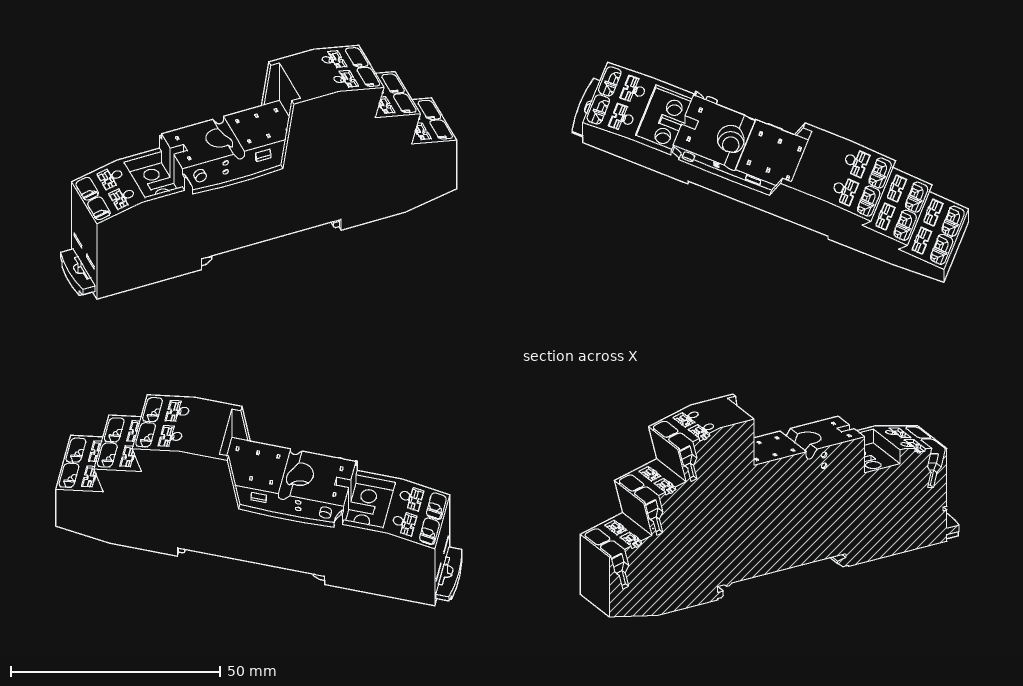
import cadquery as cq
import math

WIDTH = 15.9
HEIGHT = 45.9
LENGTH = 92.9
FOOT_REACH = 4.0

TILT = math.radians(14)
TREAD = 12.0
RISER = 9.4
STEPS = 3
TREAD_RUN = TREAD * math.cos(TILT)
TREAD_RISE = TREAD * math.sin(TILT)
RISER_RUN = RISER * math.sin(TILT)
RISER_RISE = RISER * math.cos(TILT)
STEP_RUN = TREAD_RUN - RISER_RUN
STEP_RISE = TREAD_RISE + RISER_RISE
LOW_EDGE_Z = HEIGHT - TREAD_RISE - (STEPS - 1) * STEP_RISE

DECK_Z = 27.7
FRONT_EDGE_Z = DECK_Z - TREAD_RISE

REAR_BEVEL_RUN = 13.3
REAR_BEVEL_RISE = 2.9
RAIL_FRONT_Y = 27.0
RAIL_BACK_Y = 63.1
RAIL_DEPTH = 3.6

WALL = 1.4
INNER_WIDTH = WIDTH - 2 * WALL
INNER_HALF = INNER_WIDTH / 2
BLOCK_FRONT_Y = 22.7
BLOCK_BACK_Y = 53.1
BLOCK_TOP_Z = 33.6
TOWER_TOP_Y = 50.85
WALL_DIP_BACK_Y = 48.0
WALL_DIP_FRONT_Y = 24.7
WALL_DIP_Z = 25.8
WALL_DIP_SAG = 0.6
EAR_TOP_Y = 23.1
EAR_TOP_Z = 31.8
EAR_FOOT_Z = 27.9
EAR_CURVE_MIDDLE = (24.1, 29.6)

BLOCK_GROOVE_BACK_Y = 38.6
BLOCK_GROOVE_FRONT_Y = 35.8
BLOCK_GROOVE_RADIUS = 0.9
BLOCK_GROOVE_BOTTOM_Z = 31.5
BLOCK_GROOVE_SLOPE_START = (37.0, 31.9)

SCREW_Y = 34.9
SCREW_RADIUS = 1.9
SCREW_HEAD_RADIUS = 3.2
SCREW_HEAD_DEPTH = 7.75

SLIT_X = 3.8
SLIT_ROWS = (25.6, 41.1, 46.0, 51.0)
SLIT_WIDTH = 1.0
SLIT_LENGTH = 0.6
SLIT_DEPTH = 1.9

POCKET_FRONT_Y = 13.0
POCKET_FLOOR_Z = 24.0
POCKET_HOLE_X = 3.7
POCKET_HOLE_Y = 18.9
POCKET_HOLE_RADIUS = 1.8
POCKET_HOLE_DEPTH = 5.8
KEYWAY_WIDTH = 2.2
KEYWAY_FRONT_Y = 16.8
KEYWAY_BACK_Y = 26.2
KEYWAY_DEPTH = 3.9

PIN_Y = 26.9
PIN_Z = 30.4
PIN_RADIUS = 1.4
SIDE_HOLE_Y = 33.8
SIDE_HOLE_HEIGHTS = (28.6, 31.5)
SIDE_HOLE_RADIUS = 0.7
SIDE_HOLE_DEPTH = 1.0
LATCH_FRONT_Y = 41.6
LATCH_BACK_Y = 45.2
LATCH_REACH = 0.7
LATCH_TOP_Z = 32.0
LATCH_CREST_Z = 30.7
LATCH_BOTTOM_Z = 29.7

POLE_X = 3.7
ENTRY_START = 0.5
ENTRY_LENGTH = 3.8
ENTRY_PAIR_WIDTH = 7.0
ENTRY_CORNER_RADIUS = 1.2
ENTRY_RIB = 0.4
ENTRY_RIB_DROP = 2.4
ENTRY_DEPTH = 4.7
FUNNEL_DEPTH = 1.5
WIRE_START = 1.4
WIRE_WIDTH = 1.7
WIRE_LENGTH = 1.55
WIRE_DEPTH = 3.9
LEVER_START = 6.2
LEVER_LENGTH = 2.7
LEVER_WIDTH = 5.9
LEVER_DEPTH = 0.8
LEVER_GROOVE_START = 7.4
LEVER_GROOVE_LENGTH = 0.7
LEVER_GROOVE_DEPTH = 0.3
LEVER_GROOVE_GAP = 1.5
STEM_WIDTH = 0.8
STEM_LENGTH = 0.8
NOTCH_START = 8.4
NOTCH_LENGTH = 0.7
NOTCH_WIDTH = 1.6
NOTCH_DEPTH = 1.2
PROBE_AT = 10.3
PROBE_RADIUS = 1.2
PROBE_DEPTH = 8.7

FACE_SLOT_X = 4.0
FACE_SLOT_Z = 8.9
FACE_SLOT_WIDTH = 4.65
FACE_SLOT_HEIGHT = 0.9
FACE_SLOT_DEPTH = 1.0

FOOT_HALF = 7.0
FOOT_SHOULDER = 3.2
FOOT_BOTTOM_Z = 0.3
FOOT_PLATE_Z = 1.7
FOOT_LOWER_HALF = 5.4
FOOT_ANCHOR = 1.0
FOOT_CAVITY_DEPTH = 0.8
FOOT_NOTCH_HALF = 4.0
FOOT_NOTCH_DEPTH = 0.9
FOOT_EYE_HALF = 1.6
FOOT_EYE_TIP_HALF = 0.9
FOOT_EYE_DEPTH = 2.4
FOOT_EYE_BULGE = (1.5, 1.8)

SPRING_HOOK_REACH = 3.1
SPRING_HOOK_SHOULDER = 0.9
SPRING_HOOK_TOP_Z = 2.7
SPRING_TIP_TOP_Z = 2.2
SPRING_TIP_BOTTOM_Z = 1.55
SPRING_HOOK_BEVEL = 1.55
FIXED_HOOK_REACH = 1.55
FIXED_HOOK_TOP_Z = 2.1
FIXED_HOOK_BOTTOM_Z = 0.4
FIXED_HOOK_BEVEL = 0.5
BUMP_Y = 60.2
BUMP_LENGTH = 2.2
BUMP_TIP_LENGTH = 0.6
BUMP_HEIGHT = 0.6


def box(x_min, x_max, y_min, y_max, z_min, z_max):
    """Axis-aligned box from its limits."""
    return (
        cq.Workplane("XY")
        .box(x_max - x_min, y_max - y_min, z_max - z_min, centered=False)
        .translate((x_min, y_min, z_min))
    )


def centred_prism(sketch, width):
    """Extrude a closed YZ outline evenly about the middle plane X = 0."""
    return sketch.extrude(width / 2, both=True)


def side_rod(x_start, y, z, radius, length):
    """Round rod along +X, starting at x_start."""
    return cq.Workplane("YZ", origin=(x_start, y, z)).circle(radius).extrude(length)


def mirrored(shape):
    """A shape together with its mirror image across X = 0."""
    return shape.union(shape.mirror("YZ"))


def housing():
    """Outer shell: stepped rear tower, dipped side walls, rail channel below."""
    steps = []
    for step in range(STEPS):
        edge_y = LENGTH - step * STEP_RUN
        edge_z = LOW_EDGE_Z + step * STEP_RISE
        steps.append((edge_y, edge_z))
        steps.append((edge_y - TREAD_RUN, edge_z + TREAD_RISE))
    dip_middle_y = (WALL_DIP_BACK_Y + WALL_DIP_FRONT_Y) / 2
    outline = (
        cq.Workplane("YZ")
        .moveTo(LENGTH, REAR_BEVEL_RISE)
        .polyline(steps, includeCurrent=True)
        .lineTo(TOWER_TOP_Y, HEIGHT)
        .lineTo(WALL_DIP_BACK_Y, WALL_DIP_Z)
        .threePointArc((dip_middle_y, WALL_DIP_Z - WALL_DIP_SAG), (WALL_DIP_FRONT_Y, WALL_DIP_Z))
        .lineTo(WALL_DIP_FRONT_Y, EAR_FOOT_Z)
        .threePointArc(EAR_CURVE_MIDDLE, (EAR_TOP_Y, EAR_TOP_Z))
        .lineTo(BLOCK_FRONT_Y, EAR_TOP_Z)
        .lineTo(BLOCK_FRONT_Y, DECK_Z)
        .lineTo(TREAD_RUN, DECK_Z)
        .lineTo(0, FRONT_EDGE_Z)
        .lineTo(0, 0)
        .lineTo(RAIL_FRONT_Y, 0)
        .lineTo(RAIL_FRONT_Y, RAIL_DEPTH)
        .lineTo(RAIL_BACK_Y, RAIL_DEPTH)
        .lineTo(RAIL_BACK_Y, 0)
        .lineTo(LENGTH - REAR_BEVEL_RUN, 0)
        .close()
    )
    return centred_prism(outline, WIDTH)


def block_groove():
    """Rounded groove across the block, vertical behind and sloped in front."""
    bottom_y = BLOCK_GROOVE_BACK_Y - BLOCK_GROOVE_RADIUS
    outline = (
        cq.Workplane("YZ")
        .moveTo(BLOCK_GROOVE_BACK_Y, BLOCK_TOP_Z)
        .lineTo(BLOCK_GROOVE_BACK_Y, BLOCK_GROOVE_BOTTOM_Z + BLOCK_GROOVE_RADIUS)
        .threePointArc((bottom_y, BLOCK_GROOVE_BOTTOM_Z), BLOCK_GROOVE_SLOPE_START)
        .lineTo(BLOCK_GROOVE_FRONT_Y, BLOCK_TOP_Z)
        .close()
    )
    return centred_prism(outline, INNER_WIDTH)


def relay_seat(body):
    """Block between the side walls, with the open space behind and in front of it."""
    body = body.cut(box(-INNER_HALF, INNER_HALF, BLOCK_FRONT_Y, BLOCK_BACK_Y, BLOCK_TOP_Z, HEIGHT))
    body = body.union(
        box(-INNER_HALF, INNER_HALF, BLOCK_FRONT_Y, BLOCK_BACK_Y, POCKET_FLOOR_Z, BLOCK_TOP_Z)
    )
    body = body.cut(
        box(-INNER_HALF, INNER_HALF, POCKET_FRONT_Y, BLOCK_FRONT_Y, POCKET_FLOOR_Z, DECK_Z)
    )
    body = body.cut(block_groove())

    slits = (
        cq.Workplane("XY", origin=(0, 0, BLOCK_TOP_Z))
        .pushPoints([(side * SLIT_X, y) for side in (-1, 1) for y in SLIT_ROWS])
        .rect(SLIT_WIDTH, SLIT_LENGTH)
        .extrude(-SLIT_DEPTH)
    )
    pocket_holes = (
        cq.Workplane("XY", origin=(0, POCKET_HOLE_Y, POCKET_FLOOR_Z))
        .pushPoints([(-POCKET_HOLE_X, 0), (POCKET_HOLE_X, 0)])
        .circle(POCKET_HOLE_RADIUS)
        .extrude(-POCKET_HOLE_DEPTH)
    )
    keyway = box(
        -KEYWAY_WIDTH / 2, KEYWAY_WIDTH / 2, KEYWAY_FRONT_Y, KEYWAY_BACK_Y,
        POCKET_FLOOR_Z - KEYWAY_DEPTH, BLOCK_TOP_Z,
    )
    screw_top = cq.Workplane("XY", origin=(0, SCREW_Y, BLOCK_TOP_Z))
    screw_hole = screw_top.circle(SCREW_RADIUS).extrude(-BLOCK_TOP_Z)
    screw_head = screw_top.circle(SCREW_HEAD_RADIUS).extrude(-SCREW_HEAD_DEPTH)
    return body.cut(slits).cut(pocket_holes).cut(keyway).cut(screw_hole).cut(screw_head)


def block_side_details(body):
    """Round pin, latch wedge and two small holes on both sides of the block."""
    pin = side_rod(INNER_HALF, PIN_Y, PIN_Z, PIN_RADIUS, WALL)
    latch = (
        cq.Workplane("XZ", origin=(0, LATCH_BACK_Y, 0))
        .moveTo(INNER_HALF, LATCH_TOP_Z)
        .lineTo(INNER_HALF + LATCH_REACH, LATCH_CREST_Z)
        .lineTo(INNER_HALF + LATCH_REACH, LATCH_BOTTOM_Z)
        .lineTo(INNER_HALF, LATCH_BOTTOM_Z)
        .close()
        .extrude(LATCH_BACK_Y - LATCH_FRONT_Y)
    )
    body = body.union(mirrored(pin)).union(mirrored(latch))
    for z in SIDE_HOLE_HEIGHTS:
        hole = side_rod(INNER_HALF - SIDE_HOLE_DEPTH, SIDE_HOLE_Y, z, SIDE_HOLE_RADIUS, SIDE_HOLE_DEPTH)
        body = body.cut(mirrored(hole))
    return body


def tread_block(plane, x, width, start, length, top, depth):
    """Block below a tread: centred on x, beginning `start` inward from its edge."""
    return (
        cq.Workplane(plane)
        .workplane(offset=-top)
        .center(x, start + length / 2)
        .rect(width, length)
        .extrude(-depth)
    )


def entry_opening(plane, pole_x, depth):
    """Opening shared by the two wire entries of a pole, with rounded corners."""
    opening = tread_block(plane, pole_x, ENTRY_PAIR_WIDTH, ENTRY_START, ENTRY_LENGTH, 0, depth)
    return opening.edges(cq.selectors.ParallelDirSelector(plane.zDir)).fillet(ENTRY_CORNER_RADIUS)


def funnel(plane, x):
    """Taper from one half of the opening down to its wire hole."""
    entry_middle = ENTRY_START + ENTRY_LENGTH / 2
    wire_middle = WIRE_START + WIRE_LENGTH / 2
    return (
        cq.Workplane(plane)
        .workplane(offset=-ENTRY_DEPTH)
        .center(x, entry_middle)
        .rect((ENTRY_PAIR_WIDTH - ENTRY_RIB) / 2, ENTRY_LENGTH)
        .workplane(offset=-FUNNEL_DEPTH)
        .center(0, wire_middle - entry_middle)
        .rect(WIRE_WIDTH, WIRE_LENGTH)
        .loft(ruled=True)
    )


def wire_entries(plane, pole_x):
    """Two wire entries side by side: ribbed opening, funnels and wire holes."""
    funnel_end = ENTRY_DEPTH + FUNNEL_DEPTH
    rib = tread_block(
        plane, pole_x, ENTRY_RIB, ENTRY_START, ENTRY_LENGTH, ENTRY_RIB_DROP, ENTRY_DEPTH - ENTRY_RIB_DROP
    )
    entries = entry_opening(plane, pole_x, ENTRY_DEPTH).cut(rib)
    funnel_limit = entry_opening(plane, pole_x, funnel_end)
    for side in (-1, 1):
        x = pole_x + side * (ENTRY_PAIR_WIDTH + ENTRY_RIB) / 4
        wire_hole = tread_block(plane, x, WIRE_WIDTH, WIRE_START, WIRE_LENGTH, funnel_end, WIRE_DEPTH)
        entries = entries.union(funnel(plane, x).intersect(funnel_limit)).union(wire_hole)
    return entries


def release_lever(plane, pole_x):
    """Recess with an outer stem, a notch at its inner edge and an interrupted groove."""
    recess = tread_block(plane, pole_x, LEVER_WIDTH, LEVER_START, LEVER_LENGTH, 0, LEVER_DEPTH)
    stem = tread_block(plane, pole_x, STEM_WIDTH, LEVER_START, STEM_LENGTH, 0, LEVER_DEPTH)
    notch = tread_block(plane, pole_x, NOTCH_WIDTH, NOTCH_START, NOTCH_LENGTH, 0, NOTCH_DEPTH)
    lever = recess.cut(stem).union(notch)
    groove_width = (LEVER_WIDTH - LEVER_GROOVE_GAP) / 2
    for side in (-1, 1):
        x = pole_x + side * (LEVER_GROOVE_GAP + groove_width) / 2
        groove = tread_block(
            plane, x, groove_width, LEVER_GROOVE_START, LEVER_GROOVE_LENGTH,
            LEVER_DEPTH, LEVER_GROOVE_DEPTH,
        )
        lever = lever.union(groove)
    return lever


def terminals(body, plane, with_probe_holes):
    """Cut the two-pole terminal pattern into one tread."""
    for pole_x in (-POLE_X, POLE_X):
        body = body.cut(wire_entries(plane, pole_x))
        body = body.cut(release_lever(plane, pole_x))
        if with_probe_holes:
            probe = cq.Workplane(plane).center(pole_x, PROBE_AT).circle(PROBE_RADIUS)
            body = body.cut(probe.extrude(-PROBE_DEPTH))
    return body


def all_terminals(body):
    """Three rear treads and the front one; local Y points inward up the tread."""
    for step in range(STEPS):
        plane = cq.Plane(
            origin=(0, LENGTH - step * STEP_RUN, LOW_EDGE_Z + step * STEP_RISE),
            xDir=(-1, 0, 0),
            normal=(0, math.sin(TILT), math.cos(TILT)),
        )
        body = terminals(body, plane, with_probe_holes=step == STEPS - 1)
    front_plane = cq.Plane(
        origin=(0, 0, FRONT_EDGE_Z),
        xDir=(1, 0, 0),
        normal=(0, -math.sin(TILT), math.cos(TILT)),
    )
    return terminals(body, front_plane, with_probe_holes=True)


def face_slots():
    """Two flat slots in the front end face."""
    return (
        cq.Workplane("XZ")
        .pushPoints([(-FACE_SLOT_X, FACE_SLOT_Z), (FACE_SLOT_X, FACE_SLOT_Z)])
        .rect(FACE_SLOT_WIDTH, FACE_SLOT_HEIGHT)
        .extrude(-FACE_SLOT_DEPTH)
    )


def release_foot():
    """Foot with an arched front, a narrower lower part and a notched eye."""
    bulge_x, bulge_y = FOOT_EYE_BULGE
    foot = (
        cq.Workplane("XY", origin=(0, 0, FOOT_BOTTOM_Z))
        .moveTo(-FOOT_HALF, FOOT_ANCHOR)
        .lineTo(-FOOT_HALF, -FOOT_SHOULDER)
        .threePointArc((0, -FOOT_REACH), (FOOT_HALF, -FOOT_SHOULDER))
        .lineTo(FOOT_HALF, FOOT_ANCHOR)
        .lineTo(FOOT_NOTCH_HALF, FOOT_ANCHOR)
        .lineTo(FOOT_NOTCH_HALF, -FOOT_NOTCH_DEPTH)
        .lineTo(FOOT_EYE_HALF, -FOOT_NOTCH_DEPTH)
        .threePointArc((bulge_x, -bulge_y), (FOOT_EYE_TIP_HALF, -FOOT_EYE_DEPTH))
        .lineTo(-FOOT_EYE_TIP_HALF, -FOOT_EYE_DEPTH)
        .threePointArc((-bulge_x, -bulge_y), (-FOOT_EYE_HALF, -FOOT_NOTCH_DEPTH))
        .lineTo(-FOOT_NOTCH_HALF, -FOOT_NOTCH_DEPTH)
        .lineTo(-FOOT_NOTCH_HALF, FOOT_ANCHOR)
        .close()
        .extrude(RAIL_DEPTH - FOOT_BOTTOM_Z)
    )
    under_plate = box(
        FOOT_LOWER_HALF, FOOT_HALF, -FOOT_REACH, FOOT_ANCHOR, FOOT_BOTTOM_Z, FOOT_PLATE_Z
    )
    return foot.cut(mirrored(under_plate))


def foot_cavity():
    """Hollow in the front end face, behind the notch of the foot."""
    return box(-FOOT_NOTCH_HALF, FOOT_NOTCH_HALF, 0, FOOT_CAVITY_DEPTH, 0, RAIL_DEPTH)


def rail_hooks():
    """Spring hook and fixed hook gripping the rail, and the bump above it."""
    spring_tip = RAIL_FRONT_Y + SPRING_HOOK_REACH
    spring_shoulder = RAIL_FRONT_Y + SPRING_HOOK_SHOULDER
    spring_hook = (
        cq.Workplane("YZ")
        .moveTo(RAIL_FRONT_Y, RAIL_DEPTH)
        .lineTo(spring_shoulder, RAIL_DEPTH)
        .lineTo(spring_shoulder, SPRING_HOOK_TOP_Z)
        .lineTo(spring_tip, SPRING_TIP_TOP_Z)
        .lineTo(spring_tip, SPRING_TIP_BOTTOM_Z)
        .lineTo(spring_tip - SPRING_HOOK_BEVEL, FOOT_BOTTOM_Z)
        .lineTo(RAIL_FRONT_Y, FOOT_BOTTOM_Z)
        .close()
    )
    fixed_tip = RAIL_BACK_Y - FIXED_HOOK_REACH
    fixed_hook = (
        cq.Workplane("YZ")
        .moveTo(RAIL_BACK_Y, FIXED_HOOK_TOP_Z)
        .lineTo(fixed_tip, FIXED_HOOK_TOP_Z)
        .lineTo(fixed_tip, FIXED_HOOK_BOTTOM_Z + FIXED_HOOK_BEVEL)
        .lineTo(fixed_tip + FIXED_HOOK_BEVEL, FIXED_HOOK_BOTTOM_Z)
        .lineTo(RAIL_BACK_Y, FIXED_HOOK_BOTTOM_Z)
        .close()
    )
    bump = (
        cq.Workplane("YZ")
        .moveTo(BUMP_Y + BUMP_LENGTH / 2, RAIL_DEPTH)
        .lineTo(BUMP_Y + BUMP_TIP_LENGTH / 2, RAIL_DEPTH - BUMP_HEIGHT)
        .lineTo(BUMP_Y - BUMP_TIP_LENGTH / 2, RAIL_DEPTH - BUMP_HEIGHT)
        .lineTo(BUMP_Y - BUMP_LENGTH / 2, RAIL_DEPTH)
        .close()
    )
    return [centred_prism(outline, 2 * FOOT_HALF) for outline in (spring_hook, fixed_hook, bump)]


result = relay_seat(housing())
result = block_side_details(result)
result = all_terminals(result)
result = result.cut(face_slots()).cut(foot_cavity()).union(release_foot())
for hook in rail_hooks():
    result = result.union(hook)